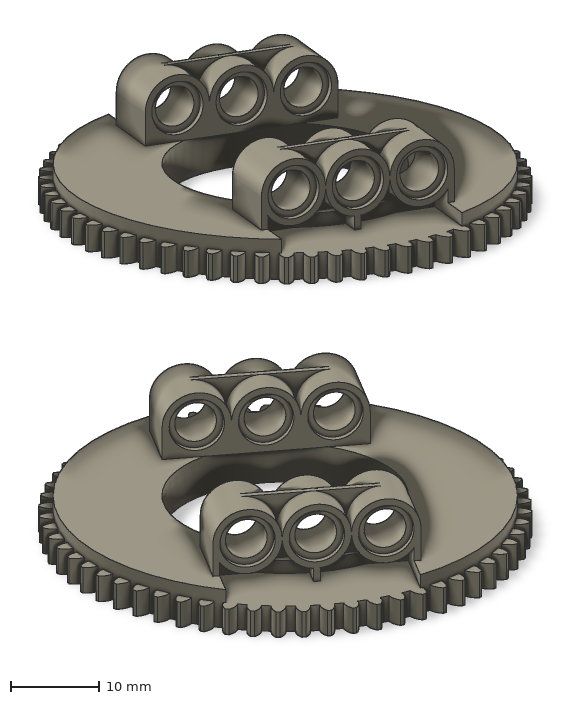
import cadquery as cq
import math

tooth_count = 60
outer_radius = 28.0
root_radius = 26.4
gear_height = 3.2
bore_radius = 14.0

flank_radius = 27.3
root_half_width = 0.85
flank_half_width = 0.7
tip_half_width = 0.2

plate_radius = root_radius
plate_top = 4.8

total_height = 12.8
tube_radius = (total_height - plate_top) / 2
hole_pitch = 2 * tube_radius
tube_axis_height = total_height - tube_radius
beam_center_x = 2 * hole_pitch
beam_inner_x = beam_center_x - tube_radius
beam_half_length = hole_pitch + tube_radius
hole_positions = [-hole_pitch, 0, hole_pitch]
hole_diameter = 4.8
counterbore_diameter = 6.4
counterbore_depth = 0.8

web_thickness = 0.8
end_wall_thickness = 0.8
neck_height = 0.55

beam_outer_x = beam_inner_x + 2 * tube_radius
web_outer_x = beam_center_x + web_thickness / 2

recess_half_width = beam_half_length - end_wall_thickness
collar_radius = 17.6


def box_between(x_range, y_range, z_range):
    """Axis-aligned box from its lower and upper limits."""
    sizes = [high - low for low, high in (x_range, y_range, z_range)]
    corner = (x_range[0], y_range[0], z_range[0])
    return cq.Workplane("XY").box(*sizes, centered=False).translate(corner)


def cylinder_along_beam(y, diameter, start_x, end_x):
    """Cylinder parallel to X on the tube axis at the given Y."""
    return (
        cq.Workplane("YZ", origin=(start_x, y, tube_axis_height))
        .circle(diameter / 2)
        .extrude(end_x - start_x)
    )


def tooth_point(radius, offset, angle):
    """Point at the given radius, shifted sideways from a tooth's center line."""
    along = math.sqrt(radius**2 - offset**2)
    return (
        along * math.cos(angle) - offset * math.sin(angle),
        along * math.sin(angle) + offset * math.cos(angle),
    )


def gear_ring():
    """Toothed disc with curved flanks and short flat tips."""
    pitch_angle = 2 * math.pi / tooth_count
    outline = cq.Workplane("XY").moveTo(*tooth_point(root_radius, -root_half_width, 0))
    for tooth in range(tooth_count):
        angle = tooth * pitch_angle
        outline = (
            outline.threePointArc(
                tooth_point(flank_radius, -flank_half_width, angle),
                tooth_point(outer_radius, -tip_half_width, angle),
            )
            .lineTo(*tooth_point(outer_radius, tip_half_width, angle))
            .threePointArc(
                tooth_point(flank_radius, flank_half_width, angle),
                tooth_point(root_radius, root_half_width, angle),
            )
            .threePointArc(
                tooth_point(root_radius, 0, angle + pitch_angle / 2),
                tooth_point(root_radius, -root_half_width, angle + pitch_angle),
            )
        )
    return outline.close().extrude(gear_height)


def recess():
    """Pocket through the raised plate on the +X side, open at the rim."""
    pocket = box_between(
        (web_outer_x, outer_radius),
        (-recess_half_width, recess_half_width),
        (gear_height, plate_top),
    )
    collar = cq.Workplane("XY").circle(collar_radius).extrude(plate_top)
    return pocket.cut(collar)


def beam():
    """Beam on the +X side without holes: tubes on a base that is solid on its inner half."""
    base = box_between(
        (beam_inner_x, web_outer_x),
        (-beam_half_length, beam_half_length),
        (plate_top, tube_axis_height),
    )
    web = box_between(
        (beam_center_x - web_thickness / 2, web_outer_x),
        (-hole_pitch, hole_pitch),
        (tube_axis_height, total_height),
    )
    center_rib = box_between(
        (beam_center_x, beam_outer_x),
        (-web_thickness / 2, web_thickness / 2),
        (gear_height, tube_axis_height),
    )
    neck = box_between(
        (beam_inner_x, beam_outer_x),
        (-hole_pitch, hole_pitch),
        (tube_axis_height - neck_height / 2, tube_axis_height + neck_height / 2),
    )
    body = base.union(web).union(center_rib).union(neck)
    for side in (-1, 1):
        wall_edges = sorted([side * recess_half_width, side * beam_half_length])
        end_wall = box_between(
            (beam_inner_x, beam_outer_x),
            wall_edges,
            (plate_top, tube_axis_height),
        )
        body = body.union(end_wall)
    for y in hole_positions:
        body = body.union(cylinder_along_beam(y, 2 * tube_radius, beam_inner_x, beam_outer_x))
    return body


def counterbored_hole(y):
    """Through hole of the +X beam with a counterbore at both ends."""
    hole = cylinder_along_beam(y, hole_diameter, beam_inner_x, beam_outer_x)
    inner_end = cylinder_along_beam(
        y, counterbore_diameter, beam_inner_x, beam_inner_x + counterbore_depth
    )
    outer_end = cylinder_along_beam(
        y, counterbore_diameter, beam_outer_x - counterbore_depth, beam_outer_x
    )
    return hole.union(inner_end).union(outer_end)


def both_sides(body):
    """The body together with its mirror image on the -X side."""
    return body.union(body.mirror("YZ"))


plate = cq.Workplane("XY").circle(plate_radius).extrude(plate_top)
bore = cq.Workplane("XY").circle(bore_radius).extrude(plate_top)
finished_beam = beam()
for hole_y in hole_positions:
    finished_beam = finished_beam.cut(counterbored_hole(hole_y))

result = (
    gear_ring()
    .union(plate)
    .cut(both_sides(recess()))
    .cut(bore)
    .union(both_sides(finished_beam))
)